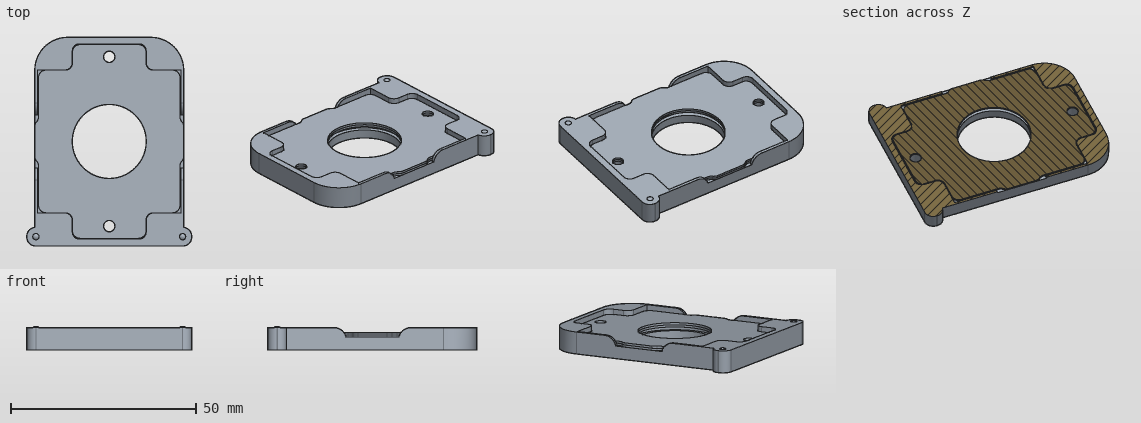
import cadquery as cq
import math


FRAME_LENGTH = 56.45
BACK_Y = 28.15
FRONT_Y = BACK_Y - FRAME_LENGTH
FRAME_WIDTH = 40.3
FRAME_HEIGHT = 6.1
CORNER_RADIUS = 9.0
OVERALL_WIDTH = 44.6
LUG_RADIUS = 2.5
LUG_FLAT = 0.15
LUG_X = OVERALL_WIDTH / 2 - LUG_RADIUS
LUG_Y = FRONT_Y + LUG_RADIUS + LUG_FLAT / 2

BUMP_RADIUS = 0.85
BUMP_HEIGHT = 0.35

POCKET_FLOOR = 3.5
POCKET_SIDE = 38.6
POCKET_ARM_LENGTH = 52.7
POCKET_ARM_WIDTH = 20.0
FILLET_RADIUS = 2.0

NOTCH_TOP_HALF = 10.4
NOTCH_BOTTOM_HALF = 7.1

PLATE_COUNT = 2
PLATE_STACK_TOP = 4.7
PLATE_THICKNESS = (PLATE_STACK_TOP - POCKET_FLOOR) / PLATE_COUNT
PLATE_CLEARANCE = 0.2
SLIDE_CLEARANCE = 0.05
PLATE_WIDTH = POCKET_SIDE - 2 * PLATE_CLEARANCE
PLATE_MIDDLE_LENGTH = POCKET_SIDE - 2 * SLIDE_CLEARANCE
PLATE_ARM_WIDTH = POCKET_ARM_WIDTH - 2 * SLIDE_CLEARANCE
PLATE_ARM_LENGTH = POCKET_ARM_LENGTH - 2 * PLATE_CLEARANCE
TAB_FLAT_HALF = 3.95

APERTURE_DIAMETER = 19.9
SEAT_DIAMETER = 22.4
SEAT_DEPTH = 1.0
SCREW_DIAMETER = 3.0
SCREW_Y = 22.85

SCREW_POINTS = [(0, SCREW_Y), (0, -SCREW_Y)]
LUG_POINTS = [(LUG_X, LUG_Y), (-LUG_X, LUG_Y)]


def box_on(z, width, length, height):
    """Box centred on the Z axis, standing on the level z."""
    return cq.Workplane("XY", origin=(0, 0, z)).box(width, length, height, centered=(True, True, False))


def fillet_corners(body, half_x, half_y):
    """Round the vertical edges at the four corners (+-half_x, +-half_y)."""
    reach = 0.05
    for x in (half_x, -half_x):
        for y in (half_y, -half_y):
            low_end = (x - reach, y - reach, 0)
            high_end = (x + reach, y + reach, FRAME_HEIGHT)
            corner = cq.selectors.BoxSelector(low_end, high_end)
            body = body.edges("|Z").edges(corner).fillet(FILLET_RADIUS)
    return body


def cross(z, height, middle_size, arm_size):
    """Cross with rounded arm ends and inner corners; the rectangular middle keeps sharp corners."""
    arm_width, arm_length = arm_size
    body = box_on(z, *middle_size, height).union(box_on(z, *arm_size, height))
    body = fillet_corners(body, arm_width / 2, middle_size[1] / 2)
    return fillet_corners(body, arm_width / 2, arm_length / 2)


def upright_cylinders(z, height, diameter, points):
    """Equal cylinders at the given points, standing on the level z."""
    return cq.Workplane("XY", origin=(0, 0, z)).pushPoints(points).circle(diameter / 2).extrude(height)


def notch():
    """Cut through both side walls: flat at the pocket floor, with an arc rounding over at each end."""
    drop = FRAME_HEIGHT - POCKET_FLOOR
    run = NOTCH_TOP_HALF - NOTCH_BOTTOM_HALF
    radius = (drop**2 + run**2) / (2 * drop)
    half_sweep = math.atan2(run, radius - drop) / 2
    middle_half = NOTCH_TOP_HALF - radius * math.sin(half_sweep)
    middle_z = FRAME_HEIGHT - radius * (1 - math.cos(half_sweep))
    return (
        cq.Workplane("YZ")
        .moveTo(NOTCH_TOP_HALF, FRAME_HEIGHT)
        .threePointArc((middle_half, middle_z), (NOTCH_BOTTOM_HALF, POCKET_FLOOR))
        .lineTo(-NOTCH_BOTTOM_HALF, POCKET_FLOOR)
        .threePointArc((-middle_half, middle_z), (-NOTCH_TOP_HALF, FRAME_HEIGHT))
        .close()
        .extrude(FRAME_WIDTH / 2, both=True)
    )


def bump(x, y):
    """Low spherical dome on top of a lug."""
    sphere_radius = (BUMP_RADIUS**2 + BUMP_HEIGHT**2) / (2 * BUMP_HEIGHT)
    centre_z = FRAME_HEIGHT + BUMP_HEIGHT - sphere_radius
    ball = cq.Workplane("XY", origin=(x, y, centre_z)).sphere(sphere_radius)
    stub = upright_cylinders(FRAME_HEIGHT / 2, FRAME_HEIGHT, 2 * BUMP_RADIUS, [(x, y)])
    return ball.intersect(stub)


def frame_blank():
    """Plain frame: rounded at the +Y end, with a round lug past each side wall at the -Y end."""
    side = FRAME_WIDTH / 2
    lug_side = OVERALL_WIDTH / 2
    lower_y = LUG_Y - LUG_FLAT / 2
    upper_y = LUG_Y + LUG_FLAT / 2
    shoulder_angle = math.acos((side - LUG_X) / LUG_RADIUS)
    upper_mid_x = LUG_X + LUG_RADIUS * math.cos(shoulder_angle / 2)
    upper_mid_y = upper_y + LUG_RADIUS * math.sin(shoulder_angle / 2)
    shoulder_y = upper_y + LUG_RADIUS * math.sin(shoulder_angle)
    lower_offset = LUG_RADIUS * math.sqrt(0.5)
    corner_offset = CORNER_RADIUS * (1 - math.sqrt(0.5))
    half = (
        cq.Workplane("XY")
        .moveTo(0, FRONT_Y)
        .lineTo(LUG_X, FRONT_Y)
        .threePointArc((LUG_X + lower_offset, lower_y - lower_offset), (lug_side, lower_y))
        .lineTo(lug_side, upper_y)
        .threePointArc((upper_mid_x, upper_mid_y), (side, shoulder_y))
        .lineTo(side, BACK_Y - CORNER_RADIUS)
        .threePointArc((side - corner_offset, BACK_Y - corner_offset), (side - CORNER_RADIUS, BACK_Y))
        .lineTo(0, BACK_Y)
        .close()
        .extrude(FRAME_HEIGHT)
    )
    return half.union(half.mirror("YZ"))


def make_frame():
    """Frame with its pocket, notches, stepped aperture, screw holes and lug bumps."""
    frame = frame_blank()

    pocket_depth = FRAME_HEIGHT - POCKET_FLOOR
    middle_size = (POCKET_SIDE, POCKET_SIDE)
    arm_size = (POCKET_ARM_WIDTH, POCKET_ARM_LENGTH)
    frame = frame.cut(cross(POCKET_FLOOR, pocket_depth, middle_size, arm_size))
    frame = frame.cut(notch())
    frame = frame.cut(upright_cylinders(0, FRAME_HEIGHT, APERTURE_DIAMETER, [(0, 0)]))
    frame = frame.cut(upright_cylinders(POCKET_FLOOR - SEAT_DEPTH, SEAT_DEPTH, SEAT_DIAMETER, [(0, 0)]))
    frame = frame.cut(upright_cylinders(0, FRAME_HEIGHT, SCREW_DIAMETER, SCREW_POINTS))
    for x, y in LUG_POINTS:
        frame = frame.union(bump(x, y))
    return frame


def finger_tabs(z):
    """Strip across the plate whose ends reach the outer wall faces through S-curves of two arcs."""
    inner = PLATE_WIDTH / 2
    outer = FRAME_WIDTH / 2
    step = (outer - inner) / 2
    sweep = math.acos(1 - step / FILLET_RADIUS)
    run = FILLET_RADIUS * math.sin(sweep)
    bend_x = FILLET_RADIUS * (1 - math.cos(sweep / 2))
    bend_y = FILLET_RADIUS * math.sin(sweep / 2)
    bend_half = TAB_FLAT_HALF + run
    end_half = bend_half + run
    half_strip = (
        cq.Workplane("XY", origin=(0, 0, z))
        .moveTo(0, -end_half)
        .lineTo(inner, -end_half)
        .threePointArc((inner + bend_x, bend_y - end_half), (inner + step, -bend_half))
        .threePointArc((outer - bend_x, -TAB_FLAT_HALF - bend_y), (outer, -TAB_FLAT_HALF))
        .lineTo(outer, TAB_FLAT_HALF)
        .threePointArc((outer - bend_x, TAB_FLAT_HALF + bend_y), (inner + step, bend_half))
        .threePointArc((inner + bend_x, end_half - bend_y), (inner, end_half))
        .lineTo(0, end_half)
        .close()
        .extrude(PLATE_THICKNESS)
    )
    return half_strip.union(half_strip.mirror("YZ"))


def make_plate(z):
    """Cross-shaped plate with rounded corners, finger tabs, an aperture and two screw holes."""
    middle_size = (PLATE_WIDTH, PLATE_MIDDLE_LENGTH)
    arm_size = (PLATE_ARM_WIDTH, PLATE_ARM_LENGTH)
    plate = cross(z, PLATE_THICKNESS, middle_size, arm_size)
    plate = fillet_corners(plate, PLATE_WIDTH / 2, PLATE_MIDDLE_LENGTH / 2)
    plate = plate.union(finger_tabs(z))
    plate = plate.cut(upright_cylinders(z, PLATE_THICKNESS, APERTURE_DIAMETER, [(0, 0)]))
    return plate.cut(upright_cylinders(z, PLATE_THICKNESS, SCREW_DIAMETER, SCREW_POINTS))


frame = make_frame()
plates = [make_plate(POCKET_FLOOR + i * PLATE_THICKNESS) for i in range(PLATE_COUNT)]

result = cq.Compound.makeCompound([frame.val(), *[plate.val() for plate in plates]])